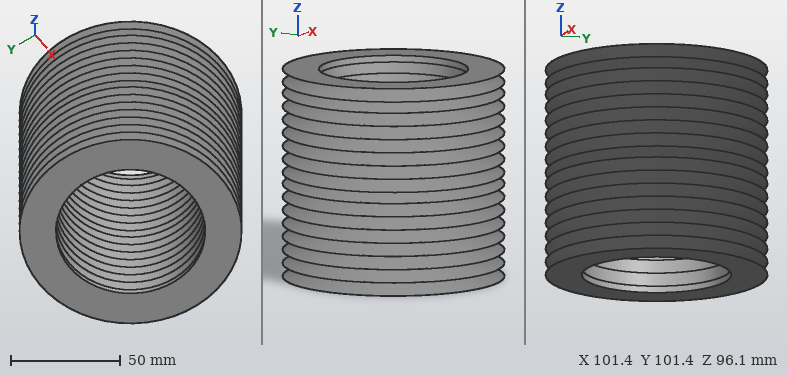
import cadquery as cq

height = 96.1
rim_radius = 50.7
valley_radius = 34.2
bore_radius = 34.1
groove_count = 16
short_grooves = (1, 8)
short_pitch = 5.2
short_valley_depth = 2.1
full_groove_count = groove_count - len(short_grooves)
fin_pitch = (height - len(short_grooves) * short_pitch) / full_groove_count
half_pitch = fin_pitch / 2


def fin_profile():
    """Half section of the wall, traced down the grooves and back up the bore."""
    z = height / 2
    points = [(bore_radius, z), (rim_radius, z)]
    for groove_index in range(groove_count):
        is_short = groove_index in short_grooves
        valley_depth = short_valley_depth if is_short else half_pitch
        pitch = short_pitch if is_short else fin_pitch
        points.append((valley_radius, z - valley_depth))
        z -= pitch
        points.append((rim_radius, z))
    points.append((bore_radius, z))
    return cq.Workplane("XZ").polyline(points).close()


result = fin_profile().revolve(360, (0, 0, 0), (0, 1, 0))